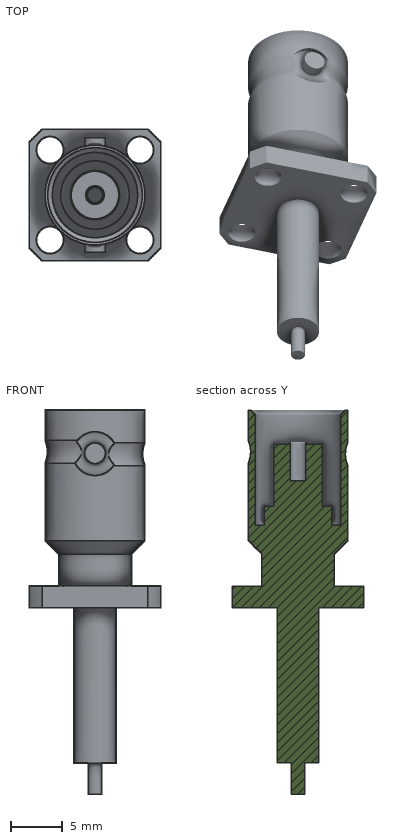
import cadquery as cq

total_height = 37.0

barrel_radius = 4.8
neck_radius = 3.5
rod_radius = 2.05
tip_radius = 0.65
barrel_bottom = 24.42
cone_bottom = barrel_bottom - (barrel_radius - neck_radius)
tip_length = 3.0

flange_side = 12.7
flange_thickness = 2.1
flange_bottom = 17.95
corner_chamfer = 1.25
hole_radius = 1.3
hole_offset = 4.33

bore_radius = 4.1
mouth_radius = 4.55
bore_depth = 11.1
mouth_bevel = mouth_radius - bore_radius

bore_floor = total_height - bore_depth
collar_radius = 3.3
collar_height = 1.85
nose_radius = 2.35
nose_top = total_height - 3.3
nose_bevel = 0.07
contact_radius = 0.9
contact_rise = 0.2
contact_hole_radius = 0.75
contact_hole_depth = 3.7
contact_mouth_bevel = 0.07

lug_radius = 1.0
lug_reach = 5.5
lug_root = 4.3
lug_height = total_height - 4.18
seat_radius = 2.1
seat_distance = 4.4
seat_height = total_height - 4.2

groove_width = 2.22
groove_depth = 0.22
left_groove_height = total_height - 4.05
right_groove_height = total_height - 4.25


def upright_cylinder(radius, bottom, top):
    return cq.Workplane("XY").workplane(offset=bottom).circle(radius).extrude(top - bottom)


def make_body():
    profile = [
        (0, 0),
        (tip_radius, 0),
        (tip_radius, tip_length),
        (rod_radius, tip_length),
        (rod_radius, flange_bottom),
        (neck_radius, flange_bottom),
        (neck_radius, cone_bottom),
        (barrel_radius, barrel_bottom),
        (barrel_radius, total_height),
        (mouth_radius, total_height),
        (bore_radius, total_height - mouth_bevel),
        (bore_radius, bore_floor),
        (0, bore_floor),
    ]
    return cq.Workplane("XZ").polyline(profile).close().revolve(360, (0, 0), (0, 1))


def make_flange():
    hole_spacing = 2 * hole_offset
    return (
        cq.Workplane("XY").workplane(offset=flange_bottom)
        .rect(flange_side, flange_side).extrude(flange_thickness)
        .edges("|Z").chamfer(corner_chamfer)
        .faces(">Z").workplane()
        .rect(hole_spacing, hole_spacing, forConstruction=True).vertices()
        .hole(2 * hole_radius)
    )


def make_insulator():
    collar = upright_cylinder(collar_radius, bore_floor, bore_floor + collar_height)
    nose = upright_cylinder(nose_radius, bore_floor, nose_top).faces(">Z").chamfer(nose_bevel)
    contact_top = nose_top + contact_rise
    contact = upright_cylinder(contact_radius, bore_floor, contact_top)
    hole = upright_cylinder(contact_hole_radius, contact_top - contact_hole_depth, contact_top)
    insulator = collar.union(nose).union(contact).cut(hole)
    rim = cq.selectors.RadiusNthSelector(0)
    return insulator.faces(">Z").edges(rim).chamfer(contact_mouth_bevel)


def make_half_groove(height, start_angle):
    """Shallow arc-section cutter running half a turn from start_angle."""
    half_width = groove_width / 2
    cutter = (
        cq.Workplane("XZ")
        .moveTo(barrel_radius, height - half_width)
        .threePointArc((barrel_radius - groove_depth, height), (barrel_radius, height + half_width))
        .lineTo(barrel_radius + groove_depth, height + half_width)
        .lineTo(barrel_radius + groove_depth, height - half_width)
        .close()
        .revolve(180, (0, 0), (0, 1))
    )
    return cutter.rotate((0, 0, 0), (0, 0, 1), start_angle)


def make_radial_cylinder(radius, height, inner, outer, side):
    """Cylinder along Y on the side +1 or -1, between two distances from the axis."""
    start = cq.Vector(0, side * inner, height)
    return cq.Workplane(cq.Solid.makeCylinder(radius, outer - inner, start, cq.Vector(0, side, 0)))


result = make_body().union(make_flange()).union(make_insulator())

result = result.cut(make_half_groove(left_groove_height, 90))
result = result.cut(make_half_groove(right_groove_height, -90))

for side in (-1, 1):
    seat = make_radial_cylinder(seat_radius, seat_height, seat_distance, lug_reach, side)
    result = result.cut(seat)
for side in (-1, 1):
    lug = make_radial_cylinder(lug_radius, lug_height, lug_root, lug_reach, side)
    result = result.union(lug)